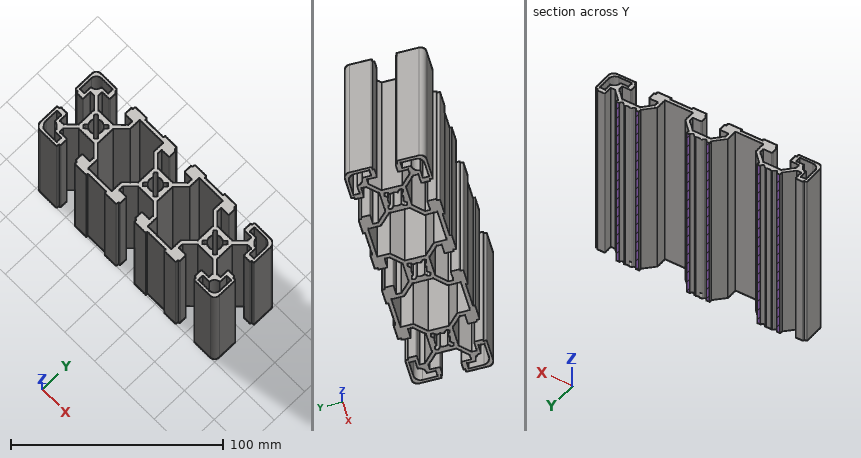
import cadquery as cq
import math

CELL = 40.0
CELL_COUNT = 3
LENGTH = 100.0
WIDTH = CELL * CELL_COUNT
HALF_CELL = CELL / 2
HALF_WIDTH = WIDTH / 2
CORNER_RADIUS = 3.0
CELL_CENTERS = [(i - (CELL_COUNT - 1) / 2) * CELL for i in range(CELL_COUNT)]

CORE_HALF = 6.5
RIB_THICKNESS = 2.0
RIB_OFFSET = RIB_THICKNESS / math.sqrt(2)

SLOT_MOUTH_HALF = 6.0
SLOT_NECK_HALF = 5.1
SLOT_STEP_DEPTH = 1.5
SLOT_LIP_DEPTH = 6.0
SLOT_INNER_HALF = 10.1
MOUTH_RADIUS = 0.4
LIP_RADIUS = 0.4

BORE_RADIUS = 3.7
RELIEF_WIDTH = 2.0
RELIEF_END_CENTER = 3.6

CHAMBER_HALF = 7.9
CHAMBER_WALL = 3.0
RECESS_HALF = 6.1
RECESS_DEPTH = 1.0

POCKET_WALL = 1.5
POCKET_REACH = 12.4
POCKET_ARM_DEPTH = 4.5
POCKET_BULGE_RADIUS = 3.5
POCKET_CORNER_RADIUS = 3.5


def extrude(sketch):
    return sketch.extrude(LENGTH)


def body():
    block = cq.Workplane("XY").rect(WIDTH, CELL)
    return extrude(block).edges("|Z").fillet(CORNER_RADIUS)


def t_slot():
    """T-slot of a cell centred on the origin, opening toward +Y."""
    step = HALF_CELL - SLOT_STEP_DEPTH
    lip = HALF_CELL - SLOT_LIP_DEPTH
    mouth_arc_end = (SLOT_MOUTH_HALF, HALF_CELL - MOUTH_RADIUS)
    lip_top_arc_end = (SLOT_NECK_HALF, step - LIP_RADIUS)
    lip_bottom_arc_end = (SLOT_NECK_HALF + LIP_RADIUS, lip)
    sketch = (
        cq.Workplane("XY")
        .moveTo(0, HALF_CELL)
        .lineTo(SLOT_MOUTH_HALF + MOUTH_RADIUS, HALF_CELL)
        .radiusArc(mouth_arc_end, -MOUTH_RADIUS)
        .lineTo(SLOT_MOUTH_HALF, step)
        .lineTo(SLOT_NECK_HALF + LIP_RADIUS, step)
        .radiusArc(lip_top_arc_end, -LIP_RADIUS)
        .lineTo(SLOT_NECK_HALF, lip + LIP_RADIUS)
        .radiusArc(lip_bottom_arc_end, -LIP_RADIUS)
        .lineTo(SLOT_INNER_HALF, lip)
        .lineTo(SLOT_INNER_HALF, SLOT_INNER_HALF + RIB_OFFSET)
        .lineTo(CORE_HALF - RIB_OFFSET, CORE_HALF)
        .lineTo(0, CORE_HALF)
        .mirrorY()
    )
    return extrude(sketch)


def core_bore():
    """Bore of a cell centred on the origin."""
    bore = extrude(cq.Workplane("XY").circle(BORE_RADIUS))
    relief_length = 2 * RELIEF_END_CENTER * math.sqrt(2) + RELIEF_WIDTH
    for angle in (45, 135):
        bore = bore.union(extrude(cq.Workplane("XY").slot2D(relief_length, RELIEF_WIDTH, angle)))
    return bore


def chamber():
    """Closed chamber centred on the joint between two cells."""
    roof = HALF_CELL - CHAMBER_WALL
    shoulder = HALF_CELL - CHAMBER_HALF - RIB_OFFSET
    core_side = HALF_CELL - CORE_HALF
    core_corner = CORE_HALF - RIB_OFFSET
    quarter = [(CHAMBER_HALF, roof), (CHAMBER_HALF, shoulder), (core_side, core_corner)]
    right = quarter + [(x, -y) for x, y in reversed(quarter)]
    left = [(-x, y) for x, y in reversed(right)]
    return extrude(cq.Workplane("XY").polyline(right + left).close())


def face_recesses():
    """Shallow recesses on both long faces, centred on the joint between two cells."""
    recess_centers = [(0, HALF_CELL), (0, -HALF_CELL)]
    sketch = cq.Workplane("XY").pushPoints(recess_centers).rect(2 * RECESS_HALF, 2 * RECESS_DEPTH)
    return extrude(sketch)


def corner_pocket():
    """L-shaped hollow of the -X, -Y corner, with that corner of the body at (0, 0)."""
    bulge_end = POCKET_ARM_DEPTH + POCKET_BULGE_RADIUS
    bulge_mid = POCKET_ARM_DEPTH + POCKET_BULGE_RADIUS / math.sqrt(2)
    tangent = POCKET_WALL + POCKET_CORNER_RADIUS
    corner_mid = tangent - POCKET_CORNER_RADIUS / math.sqrt(2)
    sketch = (
        cq.Workplane("XY")
        .moveTo(tangent, POCKET_WALL)
        .lineTo(POCKET_REACH, POCKET_WALL)
        .lineTo(POCKET_REACH, POCKET_ARM_DEPTH)
        .lineTo(bulge_end, POCKET_ARM_DEPTH)
        .threePointArc((bulge_mid, bulge_mid), (POCKET_ARM_DEPTH, bulge_end))
        .lineTo(POCKET_ARM_DEPTH, POCKET_REACH)
        .lineTo(POCKET_WALL, POCKET_REACH)
        .lineTo(POCKET_WALL, tangent)
        .threePointArc((corner_mid, corner_mid), (tangent, POCKET_WALL))
        .close()
    )
    return extrude(sketch)


def turned(shape, angle):
    return shape.rotate((0, 0, 0), (0, 0, 1), angle)


result = body()

for center in CELL_CENTERS:
    result = result.cut(core_bore().translate((center, 0, 0)))
    for angle in (0, 180):
        result = result.cut(turned(t_slot(), angle).translate((center, 0, 0)))

result = result.cut(turned(t_slot(), 90).translate((CELL_CENTERS[0], 0, 0)))
result = result.cut(turned(t_slot(), -90).translate((CELL_CENTERS[-1], 0, 0)))

for center in CELL_CENTERS[:-1]:
    joint = (center + HALF_CELL, 0, 0)
    result = result.cut(chamber().translate(joint))
    result = result.cut(face_recesses().translate(joint))

left_front = corner_pocket().translate((-HALF_WIDTH, -HALF_CELL, 0))
left_back = left_front.mirror("XZ")
for pocket in (left_front, left_back):
    result = result.cut(pocket).cut(pocket.mirror("YZ"))